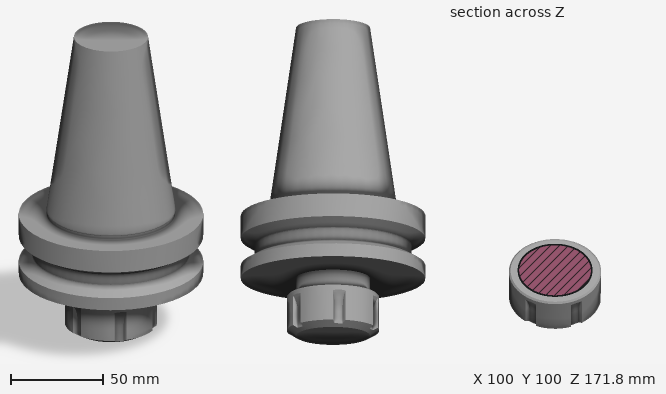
import cadquery as cq
import math

tolerance = 1e-4

gauge_diameter = 69.85
taper_length = 101.8
taper_ratio = 7 / 24
small_end_diameter = gauge_diameter - taper_ratio * taper_length

land_height = 0.5
relief_depth = 0.2
relief_bevel_height = 0.4
relief_fillet_radius = 0.65

flange_diameter = 100.0
flange_top_z = -3.0
flange_bottom_z = -38.0
groove_diameter = 85.0
groove_center_z = -23.25
groove_floor_width = 6.5
groove_flank_angle = 30.0
groove_fillet_radius = 0.5

neck_diameter = 40.0
nut_diameter = 50.0
nut_top_z = -47.4
nut_bottom_z = -70.0
nut_top_chamfer = 0.9
nut_face_diameter = 40.0
nut_bottom_angle = 30.0

slot_count = 6
slot_first_angle = 30.0
slot_floor_radius = 22.5
slot_floor_width = 4.5
slot_mouth_width = 7.0
slot_straight_top_z = -58.6
slot_runout_radius = 15.0
cutter_overshoot = 2.0


def fillet_circle(body, circle_radius, z, fillet_radius):
    """Round the circular edge of the given radius at height z."""

    def is_wanted(edge):
        return abs(edge.radius() - circle_radius) < tolerance and abs(edge.Center().z - z) < tolerance

    return body.edges("%CIRCLE").filter(is_wanted).fillet(fillet_radius)


def make_body():
    """Revolve the taper, flange, neck and nut in one piece."""
    gauge_radius = gauge_diameter / 2
    relief_radius = gauge_radius - relief_depth
    flange_radius = flange_diameter / 2
    groove_radius = groove_diameter / 2
    neck_radius = neck_diameter / 2
    nut_radius = nut_diameter / 2
    nut_face_radius = nut_face_diameter / 2

    flank_height = (flange_radius - groove_radius) * math.tan(math.radians(groove_flank_angle))
    floor_half = groove_floor_width / 2
    mouth_half = floor_half + flank_height
    bevel_height = (nut_radius - nut_face_radius) * math.tan(math.radians(nut_bottom_angle))

    outline = [
        (0, taper_length),
        (small_end_diameter / 2, taper_length),
        (gauge_radius, 0),
        (gauge_radius, -land_height),
        (relief_radius, -land_height - relief_bevel_height),
        (relief_radius, flange_top_z),
        (flange_radius, flange_top_z),
        (flange_radius, groove_center_z + mouth_half),
        (groove_radius, groove_center_z + floor_half),
        (groove_radius, groove_center_z - floor_half),
        (flange_radius, groove_center_z - mouth_half),
        (flange_radius, flange_bottom_z),
        (neck_radius, flange_bottom_z),
        (neck_radius, nut_top_z),
        (nut_radius - nut_top_chamfer, nut_top_z),
        (nut_radius, nut_top_z - nut_top_chamfer),
        (nut_radius, nut_bottom_z + bevel_height),
        (nut_face_radius, nut_bottom_z),
        (0, nut_bottom_z),
    ]
    body = cq.Workplane("XZ").polyline(outline).close().revolve(360, (0, 0), (0, 1))
    body = fillet_circle(body, relief_radius, flange_top_z, relief_fillet_radius)
    for floor_edge_z in (groove_center_z + floor_half, groove_center_z - floor_half):
        body = fillet_circle(body, groove_radius, floor_edge_z, groove_fillet_radius)
    return body


def make_slot_cutter():
    """Wrench slot on the +X side: flared walls and a floor that curves out at the top."""
    nut_radius = nut_diameter / 2
    outer_radius = nut_radius + cutter_overshoot
    flare = (slot_mouth_width - slot_floor_width) / (nut_radius - slot_floor_radius)
    outer_width = slot_floor_width + flare * (outer_radius - slot_floor_radius)

    section = [
        (slot_floor_radius, -slot_floor_width / 2),
        (outer_radius, -outer_width / 2),
        (outer_radius, outer_width / 2),
        (slot_floor_radius, slot_floor_width / 2),
    ]
    flared_bar = (
        cq.Workplane("XY", origin=(0, 0, nut_bottom_z))
        .polyline(section)
        .close()
        .extrude(nut_top_z - nut_bottom_z)
    )

    runout_angle = math.acos(1 - (outer_radius - slot_floor_radius) / slot_runout_radius)
    runout_top_z = slot_straight_top_z + slot_runout_radius * math.sin(runout_angle)
    half_angle = runout_angle / 2
    runout_middle = (
        slot_floor_radius + slot_runout_radius * (1 - math.cos(half_angle)),
        slot_straight_top_z + slot_runout_radius * math.sin(half_angle),
    )
    side_profile = (
        cq.Workplane("XZ")
        .moveTo(outer_radius, nut_bottom_z)
        .lineTo(slot_floor_radius, nut_bottom_z)
        .lineTo(slot_floor_radius, slot_straight_top_z)
        .threePointArc(runout_middle, (outer_radius, runout_top_z))
        .close()
        .extrude(outer_width, both=True)
    )
    return flared_bar.intersect(side_profile)


def cut_wrench_slots(body):
    """Cut the evenly spaced wrench slots into the nut."""
    cutter = make_slot_cutter()
    for index in range(slot_count):
        angle = slot_first_angle + index * 360 / slot_count
        body = body.cut(cutter.rotate((0, 0, 0), (0, 0, 1), angle))
    return body


result = cut_wrench_slots(make_body())